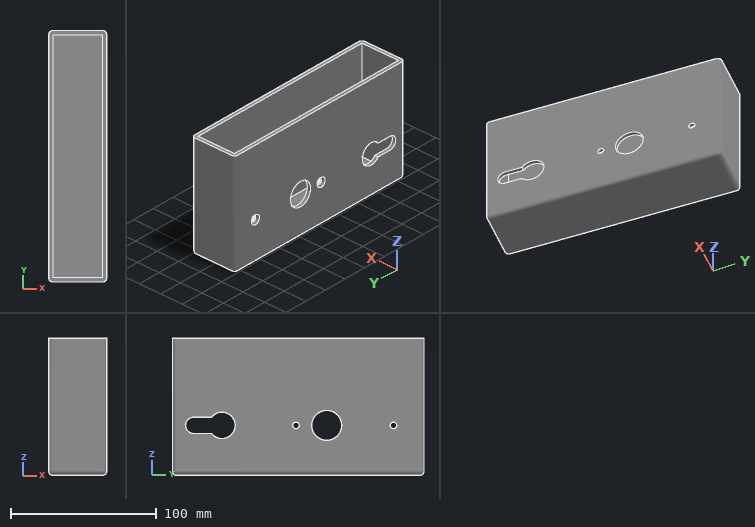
import cadquery as cq

width = 40.0
length = 173.0
height = 94.5
cavity_length = 167.0
wall = (length - cavity_length) / 2
edge_radius = wall

opening_height = 34.5

round_opening_diameter = 20.5
round_opening_y = 19.5

screw_hole_diameter = 4.3
countersink_diameter = 8.0
countersink_depth = (countersink_diameter - screw_hole_diameter) / 2
screw_spacing = 67.0
first_screw_y = 65.4
screw_positions = [first_screw_y, first_screw_y - screw_spacing]

keyhole_diameter = 18.0
keyhole_y = -52.5
slot_width = 11.0
slot_run = 19.4


def make_box():
    """Box with rounded upright and bottom edges and a square-cornered cavity."""
    outer = (
        cq.Workplane("XY")
        .box(width, length, height, centered=(True, True, False))
        .edges("|Z or <Z")
        .fillet(edge_radius)
    )
    cavity = (
        cq.Workplane("XY")
        .workplane(offset=wall)
        .box(width - 2 * wall, cavity_length, height, centered=(True, True, False))
    )
    return outer.cut(cavity)


def outer_side_plane(y):
    """Workplane on the -X face at the given Y, local x along -Y and normal outward."""
    origin = (-width / 2, y, opening_height)
    return cq.Workplane(cq.Plane(origin=origin, xDir=(0, -1, 0), normal=(-1, 0, 0)))


def through_cylinder(y, diameter):
    return outer_side_plane(y).circle(diameter / 2).extrude(-width)


def make_keyhole():
    """Round entry with a narrower round-ended slot running towards -Y."""
    slot = (
        outer_side_plane(keyhole_y)
        .center(slot_run / 2, 0)
        .slot2D(slot_run + slot_width, slot_width)
        .extrude(-width)
    )
    return through_cylinder(keyhole_y, keyhole_diameter).union(slot)


def add_screw_hole(body, y):
    """Countersink in the -X wall, with the plain hole continuing through the +X wall."""
    drilled = body.cut(through_cylinder(y, screw_hole_diameter))
    cone = cq.Solid.makeCone(
        countersink_diameter / 2,
        screw_hole_diameter / 2,
        countersink_depth,
        pnt=cq.Vector(-width / 2, y, opening_height),
        dir=cq.Vector(1, 0, 0),
    )
    return drilled.cut(cq.Workplane(cone))


result = make_box()
result = result.cut(through_cylinder(round_opening_y, round_opening_diameter))
result = result.cut(make_keyhole())
for screw_y in screw_positions:
    result = add_screw_hole(result, screw_y)